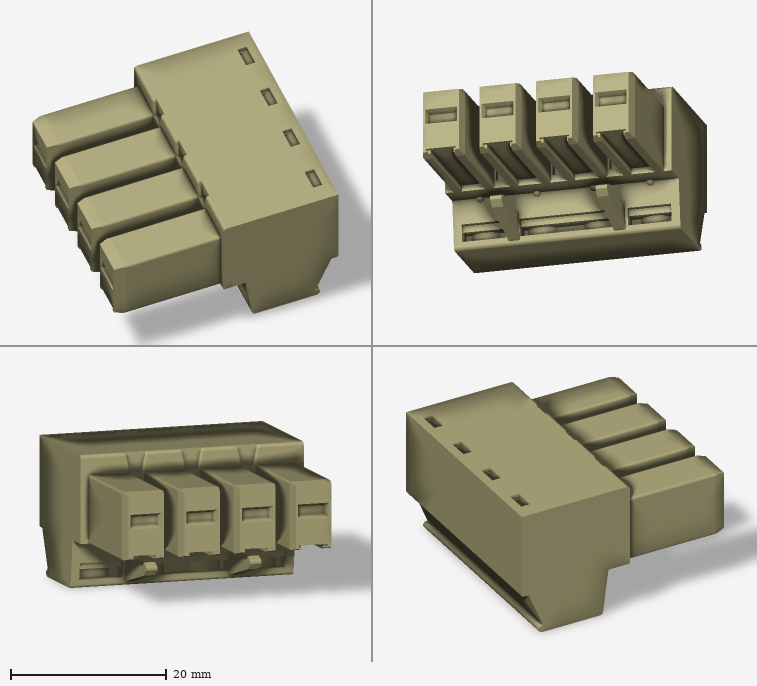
import cadquery as cq
import math


poles = 4
pitch = 7.62
width = poles * pitch
height = 18.1
depth = 16.0
total_length = 30.7
top_edge_radius = 0.5
lip_z = 6.5
rear_step_z = 6.1
rear_step_length = 1.0
rear_step_radius = 0.2
foot_front_top_y = 3.18
foot_front_bottom_y = 4.02
foot_front_radius = 0.5
foot_rear_y = 12.8
nose_radius = 0.47
nose_centre_y = 13.0

pole_places = [(i - (poles - 1) / 2) * pitch for i in range(poles)]
gap_places = [(i - (poles - 2) / 2) * pitch for i in range(poles - 1)]

finger_width = 5.6
finger_top_z = 15.5
finger_length = total_length - depth
finger_height = finger_top_z - lip_z
finger_middle_z = lip_z + finger_height / 2
finger_top_radius = 0.35
finger_bottom_radius = 0.25
tip_y = -finger_length
tip_length = 1.5
tip_taper = 0.38

window_width = 4.3
window_height = 1.95
window_z = 11.75
window_taper = 0.42
window_depth = 1.0
contact_width = window_width - 2 * window_taper
contact_height = window_height - 2 * window_taper
contact_front_y = tip_y + window_depth
contact_back_y = 0

groove_width = 3.13
groove_height = 0.82
groove_mouth_width = 3.98
groove_mouth_wall = 0.2
groove_mouth_length = 0.5

recess_width = 1.55
recess_bottom_z = 7.5
recess_top_z = 14.6
recess_depth = 1.0
notch_depth = 0.52
notch_top_width = 2.6
notch_edge_radius = 0.35

slot_width = 2.95
slot_length = 1.3
slot_rear_wall = 1.25
slot_depth = 0.6
ramp_width = 2.4
ramp_length = 0.65
ramp_front_ledge = 0.12
ramp_angle = 35

pocket_bottom_z = 1.02
pocket_step_z = 2.41
pocket_top_z = 3.3
pocket_upper_y = 4.3
pocket_back_y = 5.75
end_pocket_width = 5.88
end_pocket_x = 11.15
middle_pocket_width = 12.6
tower_radius = 2.88
tower_chord = 4.0
tower_axis_y = pocket_back_y + math.sqrt(tower_radius**2 - (tower_chord / 2) ** 2)

bump_radius = 0.55

latch_width = 1.52
latch_x = 7.1
latch_bury_y = 4.7
latch_top_z = 3.55
latch_root_radius = 1.1
latch_root_y = 3.42
latch_underside_y = -3.6
latch_underside_z = 2.54
latch_tip_y = -4.5
latch_tip_bottom_z = 3.35
latch_tip_top_z = 3.8
latch_peak_y = -3.44
latch_peak_z = 4.25
latch_hook_y = -3.0
latch_tip_radius = 0.25


def block(x_size, y_min, y_max, z_min, z_max, x_middle=0):
    """Box given by its width about x_middle and its limits in Y and Z."""
    box = cq.Workplane("XY").box(x_size, y_max - y_min, z_max - z_min, centered=(True, False, False))
    return box.translate((x_middle, y_min, z_min))


def side_plate(outline, thickness):
    """Prism across X from a closed YZ outline, centred on X = 0."""
    return outline.extrude(thickness / 2, both=True)


def trapezoid(top_width, bottom_width, z_top, z_bottom):
    """Corner points in XZ, symmetric about X = 0."""
    return [
        (-top_width / 2, z_top),
        (top_width / 2, z_top),
        (bottom_width / 2, z_bottom),
        (-bottom_width / 2, z_bottom),
    ]


def rectangle(x_size, z_size, z_middle):
    return trapezoid(x_size, x_size, z_middle + z_size / 2, z_middle - z_size / 2)


def frustum(y_front, front, y_back, back):
    """Solid between two XZ outlines on parallel planes."""
    front_outline = cq.Workplane("XZ", origin=(0, y_front, 0)).polyline(front).close()
    return front_outline.workplane(offset=y_front - y_back).polyline(back).close().loft(ruled=True)


def housing_block():
    """Main block with the foot below it, extruded over the full width."""
    outline = (
        cq.Workplane("YZ")
        .moveTo(0, lip_z)
        .lineTo(0, height)
        .lineTo(depth, height)
        .lineTo(depth, rear_step_z)
        .lineTo(depth - rear_step_length, rear_step_z)
        .lineTo(foot_rear_y, 2 * nose_radius)
        .lineTo(nose_centre_y, 2 * nose_radius)
        .threePointArc((nose_centre_y + nose_radius, nose_radius), (nose_centre_y, 0))
        .lineTo(foot_front_bottom_y, 0)
        .lineTo(foot_front_top_y, lip_z)
        .close()
    )
    body = side_plate(outline, width)
    body = body.edges(cq.NearestToPointSelector((0, 0, height))).fillet(top_edge_radius)
    body = body.edges(cq.NearestToPointSelector((0, depth, rear_step_z))).fillet(rear_step_radius)
    return body.edges(cq.NearestToPointSelector((0, foot_front_bottom_y, 0))).fillet(foot_front_radius)


def cut_notches(body):
    """Notches in the top front edge between the fingers, with rounded front edges."""
    outline = trapezoid(notch_top_width, recess_width, height, finger_top_z)
    side_shift = (notch_top_width + recess_width) / 4
    notch_middle_z = (height + finger_top_z) / 2
    for x in gap_places:
        notch = cq.Workplane("XZ").polyline(outline).close().extrude(-notch_depth)
        body = body.cut(notch.translate((x, 0, 0)))
        for side in (-1, 1):
            edge_point = (x + side * side_shift, 0, notch_middle_z)
            body = body.edges(cq.NearestToPointSelector(edge_point)).fillet(notch_edge_radius)
    return body


def finger():
    """Finger of one pole with its tapered tip, window and bottom groove."""
    body = block(finger_width, tip_y, 0, lip_z, finger_top_z)
    body = body.edges("|Y and >Z").fillet(finger_top_radius)
    body = body.edges("|Y and <Z").fillet(finger_bottom_radius)
    tip_back_y = tip_y + tip_length
    tip = frustum(
        tip_y,
        rectangle(finger_width - 2 * tip_taper, finger_height - 2 * tip_taper, finger_middle_z),
        tip_back_y,
        rectangle(finger_width, finger_height, finger_middle_z),
    )
    envelope = tip.union(block(finger_width, tip_back_y, 0, lip_z, finger_top_z))
    window = frustum(
        tip_y,
        rectangle(window_width, window_height, window_z),
        contact_front_y,
        rectangle(contact_width, contact_height, window_z),
    )
    return body.intersect(envelope).cut(window).cut(finger_groove())


def finger_groove():
    groove_top_z = lip_z + groove_height
    slant_top_z = groove_top_z - groove_mouth_wall
    mouth = (
        cq.Workplane("XZ", origin=(0, tip_y, 0))
        .moveTo(-groove_mouth_width / 2, groove_top_z)
        .lineTo(groove_mouth_width / 2, groove_top_z)
        .lineTo(groove_mouth_width / 2, slant_top_z)
        .lineTo(groove_width / 2, lip_z)
        .lineTo(-groove_width / 2, lip_z)
        .lineTo(-groove_mouth_width / 2, slant_top_z)
        .close()
        .extrude(-groove_mouth_length)
    )
    return block(groove_width, tip_y, 0, lip_z, groove_top_z).union(mouth)


def contact():
    """Contact bar that closes the window of one finger from inside."""
    bottom_z = window_z - contact_height / 2
    return block(contact_width, contact_front_y, contact_back_y, bottom_z, bottom_z + contact_height)


def test_slot():
    """Slot in the top with a ramp that falls towards the front in its floor."""
    back_y = depth - slot_rear_wall
    front_y = back_y - slot_length
    floor_z = height - slot_depth
    opening = block(slot_width, front_y, back_y, floor_z, height)
    ramp_front_y = front_y + ramp_front_ledge
    ramp_drop = ramp_length * math.tan(math.radians(ramp_angle))
    ramp = (
        cq.Workplane("YZ")
        .moveTo(ramp_front_y, floor_z)
        .lineTo(ramp_front_y + ramp_length, floor_z)
        .lineTo(ramp_front_y, floor_z - ramp_drop)
        .close()
    )
    return opening.union(side_plate(ramp, ramp_width))


def foot_pocket(x_size, x_middle):
    """Pocket that runs deeper below its step than above it."""
    upper = block(x_size, 0, pocket_upper_y, pocket_step_z, pocket_top_z, x_middle)
    lower = block(x_size, 0, pocket_back_y, pocket_bottom_z, pocket_step_z, x_middle)
    return upper.union(lower)


def tower():
    """Round wall of one pole that bulges out of the back of a foot pocket."""
    base = cq.Workplane("XY", origin=(0, tower_axis_y, pocket_bottom_z))
    return base.circle(tower_radius).extrude(pocket_step_z - pocket_bottom_z)


def latch():
    """Arm with a hooked tip, rounded into the front of the foot."""
    root_centre_y = latch_root_y - latch_root_radius
    root_centre_z = latch_top_z + latch_root_radius
    root_mid = latch_root_radius * math.sqrt(0.5)
    outline = (
        cq.Workplane("YZ")
        .moveTo(latch_bury_y, foot_front_radius)
        .lineTo(foot_front_bottom_y, foot_front_radius)
        .lineTo(latch_underside_y, latch_underside_z)
        .lineTo(latch_tip_y, latch_tip_bottom_z)
        .lineTo(latch_tip_y, latch_tip_top_z)
        .lineTo(latch_peak_y, latch_peak_z)
        .lineTo(latch_hook_y, latch_top_z)
        .lineTo(root_centre_y, latch_top_z)
        .threePointArc((root_centre_y + root_mid, root_centre_z - root_mid), (latch_root_y, root_centre_z))
        .lineTo(latch_bury_y, root_centre_z)
        .close()
    )
    body = side_plate(outline, latch_width)
    rounded_corners = [
        (latch_tip_y, latch_tip_bottom_z),
        (latch_tip_y, latch_tip_top_z),
    ]
    for y, z in rounded_corners:
        body = body.edges(cq.NearestToPointSelector((0, y, z))).fillet(latch_tip_radius)
    return body


housing = cut_notches(housing_block())
for x in gap_places:
    housing = housing.cut(block(recess_width, 0, recess_depth, recess_bottom_z, recess_top_z, x))

for side in (-1, 1):
    housing = housing.cut(foot_pocket(end_pocket_width, side * end_pocket_x))
housing = housing.cut(foot_pocket(middle_pocket_width, 0))

for side in (-1, 1):
    housing = housing.union(latch().translate((side * latch_x, 0, 0)))

for x in pole_places:
    bump = cq.Workplane("XY").sphere(bump_radius).translate((x, foot_front_top_y, lip_z))
    housing = housing.union(bump)
    housing = housing.union(tower().translate((x, 0, 0)))
    housing = housing.union(finger().translate((x, 0, 0)))
    housing = housing.cut(test_slot().translate((x, 0, 0)))

contacts = [contact().translate((x, 0, 0)) for x in pole_places]
for bar in contacts:
    housing = housing.cut(bar)

result = cq.Compound.makeCompound([housing.solids().val(), *[bar.val() for bar in contacts]])